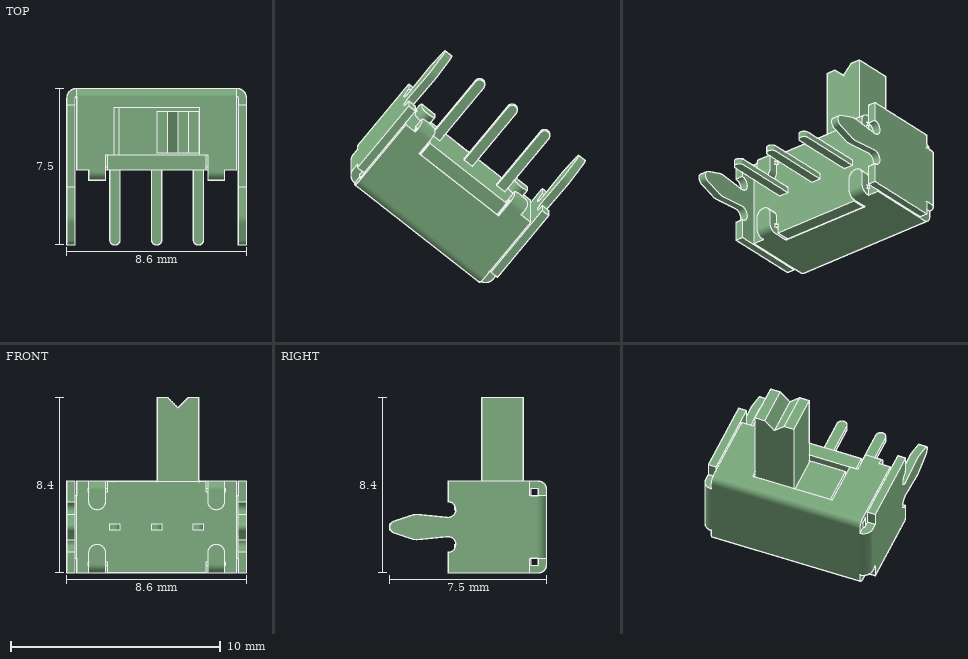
import cadquery as cq
import math


shell_width = 8.6
shell_height = 4.4
shell_depth = 3.91
side_thickness = 0.4
plate_thickness = 0.37
side_gap = 0.07
top_bend_radius = 0.4
bend_strip_height = 2.99
side_plate_start = 0.81
side_plate_end = 4.71
body_width = shell_width - 2 * (side_thickness + side_gap)
side_bend_radius = side_thickness + side_gap
half_height = shell_height / 2
inner_height = shell_height - 2 * plate_thickness

notch_width = 4.885
notch_start = 3.2
tongue_width = 4.695
tongue_recess = 0.03

tab_width = 0.81
tab_front = 4.4
tab_drop = 1.38
tab_radius = tab_width / 2
tab_x = (notch_width + tab_width) / 2

housing_back = 0.74
tab_pocket_outer = 3.285
tab_pocket_drop = 0.53
tab_pocket_depth = 0.155
tab_gap_depth = 0.1

window_width = 4.08
window_back = 0.91
slider_floor_depth = 0.44
slider_left = -1.81
slider_gap_depth = 0.4
lever_size = 1.995
lever_left = 0.02
lever_back = 1.11
lever_height = 4.0
groove_width = 1.0
groove_depth = groove_width / 2

pin_pitch = 1.995
pin_width = 0.5
pin_height = 0.3
leg_tip = 7.5
leg_root_half = 0.465
leg_wide_y = 6.295
leg_wide_half = 0.62
leg_wide_radius = 0.72
leg_tip_radius = 0.3
leg_notch_radius = 0.37


def block(x0, x1, y0, y1, z0, z1):
    """Box between two opposite corners."""
    return cq.Workplane("XY").box(x1 - x0, y1 - y0, z1 - z0, centered=False).translate((x0, y0, z0))


def centered_block(width, y0, y1, z0, z1):
    """Box placed symmetrically about X = 0."""
    return block(-width / 2, width / 2, y0, y1, z0, z1)


def with_mirror(solid, plane):
    """The solid together with its mirror image."""
    return solid.union(solid.mirror(plane))


def make_wrap():
    """Back wall with the top and bottom plates bent forward from it."""
    wrap = centered_block(body_width, 0, shell_depth, -half_height, half_height)
    wrap = wrap.edges("|X and <Y").fillet(top_bend_radius)
    inside = centered_block(body_width, side_thickness, shell_depth, -inner_height / 2, inner_height / 2)
    notches = centered_block(notch_width, notch_start, shell_depth, -half_height, half_height)
    return wrap.cut(inside).cut(notches)


def tab_block(y0, y1, z0, z1):
    """Box as wide as the upper left tab and in line with it."""
    return block(-tab_x - tab_width / 2, -tab_x + tab_width / 2, y0, y1, z0, z1)


def make_tab():
    """Upper left tab: bent over at its top, round at its lower end, with a gap inside the bend."""
    tab_end = half_height - tab_drop
    round_center_z = tab_end + tab_radius
    tab = tab_block(shell_depth, tab_front, round_center_z, half_height)
    tab = tab.edges("|X and >Y and >Z").fillet(top_bend_radius)
    round_end = (
        cq.Workplane("XZ", origin=(-tab_x, tab_front, round_center_z))
        .circle(tab_radius)
        .extrude(tab_front - shell_depth)
    )
    bend_gap = tab_block(
        shell_depth, shell_depth + tab_gap_depth, half_height - tab_pocket_drop, inner_height / 2
    )
    return tab.union(round_end).cut(bend_gap)


def make_leg():
    """Mounting leg, widening from its root and then tapering to a round tip tangent to its sides."""
    tip_center = leg_tip - leg_tip_radius
    from_tip_center = math.hypot(leg_wide_y - tip_center, leg_wide_half)
    tangent_angle = math.atan2(leg_wide_half, leg_wide_y - tip_center)
    tangent_angle -= math.acos(leg_tip_radius / from_tip_center)
    tangent_y = tip_center + leg_tip_radius * math.cos(tangent_angle)
    tangent_half = leg_tip_radius * math.sin(tangent_angle)
    leg = (
        cq.Workplane("YZ")
        .moveTo(side_plate_end, -leg_root_half)
        .lineTo(side_plate_end, leg_root_half)
        .lineTo(leg_wide_y, leg_wide_half)
        .lineTo(tangent_y, tangent_half)
        .threePointArc((leg_tip, 0), (tangent_y, -tangent_half))
        .lineTo(leg_wide_y, -leg_wide_half)
        .close()
        .extrude(side_thickness)
    )
    return leg.edges("|X and (>Z or <Z)").fillet(leg_wide_radius)


def make_side():
    """Left side plate with its bend strip, relief notches and mounting leg."""
    outer_x = -shell_width / 2
    inner_x = outer_x + side_thickness
    plate = block(outer_x, inner_x, side_plate_start, side_plate_end, -half_height, half_height)
    notch_z = leg_root_half + leg_notch_radius
    notches = (
        cq.Workplane("YZ", origin=(outer_x, 0, 0))
        .pushPoints([(side_plate_end, notch_z), (side_plate_end, -notch_z)])
        .circle(leg_notch_radius)
        .extrude(side_thickness)
    )
    leg = make_leg().translate((outer_x, 0, 0))

    bend_x = -body_width / 2
    diagonal = math.sqrt(0.5)
    inner_radius = side_bend_radius - side_thickness
    strip = (
        cq.Workplane("XY", origin=(0, 0, -bend_strip_height / 2))
        .moveTo(bend_x, 0)
        .threePointArc(
            (bend_x - side_bend_radius * diagonal, side_bend_radius * (1 - diagonal)),
            (outer_x, side_bend_radius),
        )
        .lineTo(outer_x, side_plate_start)
        .lineTo(inner_x, side_plate_start)
        .lineTo(inner_x, side_bend_radius)
        .threePointArc(
            (bend_x - inner_radius * diagonal, side_bend_radius - inner_radius * diagonal),
            (bend_x, side_thickness),
        )
        .close()
        .extrude(bend_strip_height)
    )
    return plate.cut(notches).union(leg).union(strip)


def make_housing():
    """Plastic body with a tongue above and below and clearance pockets behind the tabs."""
    body = centered_block(body_width, housing_back, shell_depth, -inner_height / 2, inner_height / 2)
    tongue_top = half_height - tongue_recess
    tongues = centered_block(tongue_width, notch_start, shell_depth, -tongue_top, tongue_top)
    pocket = block(
        -tab_pocket_outer, -tongue_width / 2,
        shell_depth - tab_pocket_depth, shell_depth,
        half_height - tab_pocket_drop, half_height,
    )
    pockets = with_mirror(with_mirror(pocket, "YZ"), "XY")
    return body.union(tongues).cut(pockets)


def make_window():
    """Opening through the top plate down to the slider, deeper beside the slider's end."""
    floor = half_height - slider_floor_depth
    opening = centered_block(window_width, window_back, notch_start, floor, half_height)
    slider_gap = block(
        -window_width / 2, slider_left, window_back, notch_start, floor - slider_gap_depth, half_height
    )
    return opening.union(slider_gap)


def make_lever():
    """Square lever with a V-groove across its top."""
    top = half_height + lever_height
    lever = block(
        lever_left, lever_left + lever_size,
        lever_back, lever_back + lever_size,
        half_height - slider_floor_depth, top,
    )
    middle = lever_left + lever_size / 2
    groove = (
        cq.Workplane("XZ", origin=(0, lever_back + lever_size, 0))
        .moveTo(middle - groove_width / 2, top)
        .lineTo(middle, top - groove_depth)
        .lineTo(middle + groove_width / 2, top)
        .close()
        .extrude(lever_size)
    )
    return lever.cut(groove)


def make_pin(x):
    """Flat terminal with a fully rounded end."""
    shank_end = leg_tip - pin_width / 2
    shank = block(
        x - pin_width / 2, x + pin_width / 2, shell_depth, shank_end, -pin_height / 2, pin_height / 2
    )
    tip = (
        cq.Workplane("XY", origin=(x, shank_end, -pin_height / 2))
        .circle(pin_width / 2)
        .extrude(pin_height)
    )
    return shank.union(tip)


tabs = with_mirror(with_mirror(make_tab(), "YZ"), "XY")
sides = with_mirror(make_side(), "YZ")

result = make_housing().union(make_wrap()).cut(make_window())
result = result.union(tabs).union(sides).union(make_lever())
for pin_x in (-pin_pitch, 0, pin_pitch):
    result = result.union(make_pin(pin_x))

result = result.mirror("XZ")